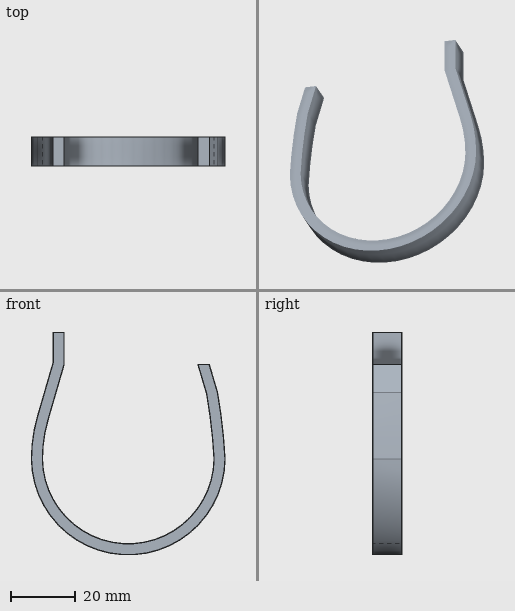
import cadquery as cq
import math

band_width = 9.0
band_thickness = 3.45
overall_width = 59.71
overall_height = 68.58

bow_half_width = overall_width / 2
bow_depth = 29.5

left_arc_radius = 47.0
left_lean = math.radians(16.2)
tab_outer_x = -23.18
tab_top_z = overall_height - bow_depth

right_arc_radius = 170.0
right_start_lean = math.radians(3.0)
right_arc_height = 20.6
tip_lean = math.radians(16.5)
tip_drop = 9.9
tip_top_z = tab_top_z - tip_drop


def point_on(center_x, center_z, radius, angle):
    """Point of a circle, with the angle measured from +X towards +Z."""
    return (center_x + radius * math.cos(angle), center_z + radius * math.sin(angle))


def band_face_points(depth):
    """Corner and arc points of the band face lying `depth` inside the outer face, left to right."""
    left_center_x = left_arc_radius - bow_half_width
    left_radius = left_arc_radius - depth
    slope_start = point_on(left_center_x, 0, left_radius, math.pi - left_lean)
    left_arc_middle = point_on(left_center_x, 0, left_radius, math.pi - left_lean / 2)
    tab_x = tab_outer_x + depth
    tab_foot = (tab_x, slope_start[1] + (tab_x - slope_start[0]) / math.tan(left_lean))

    half_width = bow_half_width - depth

    right_radius = right_arc_radius - depth
    start_sine = math.sin(right_start_lean)
    right_center_x = half_width - right_radius * math.cos(right_start_lean)
    right_center_z = -right_radius * start_sine
    right_end_lean = math.asin(start_sine + right_arc_height / right_arc_radius)
    middle_lean = (right_start_lean + right_end_lean) / 2
    right_arc_middle = point_on(right_center_x, right_center_z, right_radius, middle_lean)
    tip_foot = point_on(right_center_x, right_center_z, right_radius, right_end_lean)
    tip_x = tip_foot[0] - (tip_top_z - tip_foot[1]) * math.tan(tip_lean)

    return {
        "tab_top": (tab_x, tab_top_z),
        "tab_foot": tab_foot,
        "slope_start": slope_start,
        "left_arc_middle": left_arc_middle,
        "bow_left": (-half_width, 0),
        "bow_bottom": (0, depth - bow_depth),
        "bow_right": (half_width, 0),
        "right_arc_middle": right_arc_middle,
        "tip_foot": tip_foot,
        "tip_top": (tip_x, tip_top_z),
    }


def make_band():
    outer = band_face_points(0)
    inner = band_face_points(band_thickness)
    return (
        cq.Workplane("XZ")
        .moveTo(*outer["tab_top"])
        .lineTo(*outer["tab_foot"])
        .lineTo(*outer["slope_start"])
        .threePointArc(outer["left_arc_middle"], outer["bow_left"])
        .threePointArc(outer["bow_bottom"], outer["bow_right"])
        .threePointArc(outer["right_arc_middle"], outer["tip_foot"])
        .lineTo(*outer["tip_top"])
        .lineTo(*inner["tip_top"])
        .lineTo(*inner["tip_foot"])
        .threePointArc(inner["right_arc_middle"], inner["bow_right"])
        .threePointArc(inner["bow_bottom"], inner["bow_left"])
        .threePointArc(inner["left_arc_middle"], inner["slope_start"])
        .lineTo(*inner["tab_foot"])
        .lineTo(*inner["tab_top"])
        .close()
        .extrude(band_width / 2, both=True)
    )


result = make_band()